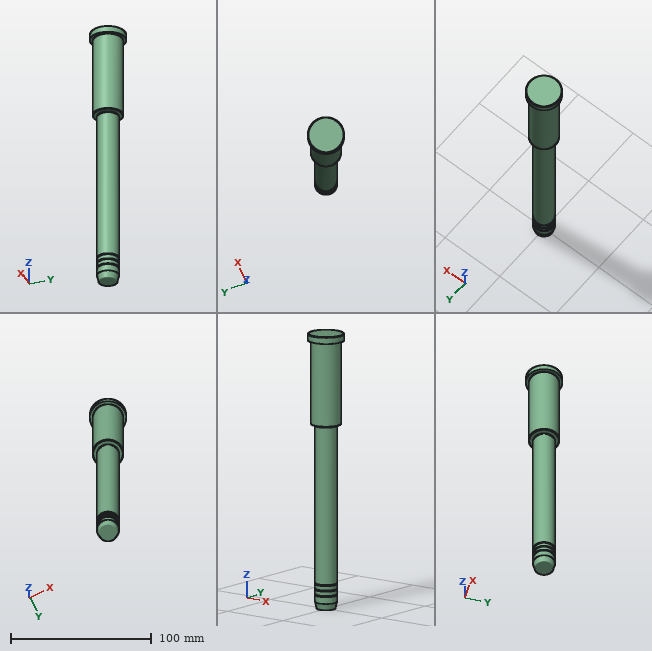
import cadquery as cq

LENGTH = 200.0

HEAD_RADIUS = 13.0
HEAD_HEIGHT = 5.0
HEAD_CHAMFER = 0.5

SLEEVE_RADIUS = 11.0
SLEEVE_LENGTH = 61.0
SLEEVE_CHAMFER = 0.5
HEAD_RELIEF_HEIGHT = 0.5
HEAD_RELIEF_DEPTH = 0.2

PIN_RADIUS = 8.0
NECK_RADIUS = 7.2
NECK_HEIGHT = 1.0

GROOVE_COUNT = 3
GROOVE_WIDTH = 1.0
GROOVE_DEPTH = 0.5
GROOVE_PITCH = 4.0
LOWEST_GROOVE_Z = 10.5

TIP_HEIGHT = 5.0
TIP_BASE_RADIUS = 7.8
TIP_END_RADIUS = 6.8
TIP_FILLET = 0.5

HEAD_BOTTOM_Z = LENGTH - HEAD_HEIGHT
SLEEVE_BOTTOM_Z = HEAD_BOTTOM_Z - SLEEVE_LENGTH
NECK_BOTTOM_Z = SLEEVE_BOTTOM_Z - NECK_HEIGHT


def cylinder(radius, bottom_z, top_z):
    """Solid cylinder on the pin axis between two heights."""
    return cq.Workplane("XY").workplane(offset=bottom_z).circle(radius).extrude(top_z - bottom_z)


def ring_cut(outer_radius, depth, center_z, width):
    """Ring to remove for a square groove in a cylindrical surface."""
    ring = cq.Workplane("XY").workplane(offset=center_z - width / 2)
    return ring.circle(outer_radius).circle(outer_radius - depth).extrude(width)


def v_ring_cut(outer_radius, depth, center_z, width):
    """Ring to remove for a V-shaped groove in a cylindrical surface."""
    profile = cq.Workplane("XZ").polyline([
        (outer_radius, center_z - width / 2),
        (outer_radius - depth, center_z),
        (outer_radius, center_z + width / 2),
    ]).close()
    return profile.revolve(360, (0, 0, 0), (0, 1, 0))


def make_head():
    return cylinder(HEAD_RADIUS, HEAD_BOTTOM_Z, LENGTH).faces(">Z").edges().chamfer(HEAD_CHAMFER)


def make_sleeve():
    """Thick upper shank with a shallow relief directly below the head."""
    sleeve = cylinder(SLEEVE_RADIUS, SLEEVE_BOTTOM_Z, HEAD_BOTTOM_Z)
    sleeve = sleeve.faces("<Z").edges().chamfer(SLEEVE_CHAMFER)
    relief_z = HEAD_BOTTOM_Z - HEAD_RELIEF_HEIGHT / 2
    return sleeve.cut(ring_cut(SLEEVE_RADIUS, HEAD_RELIEF_DEPTH, relief_z, HEAD_RELIEF_HEIGHT))


def make_pin():
    """Slender lower shank with evenly spaced V grooves near the tip."""
    pin = cylinder(PIN_RADIUS, TIP_HEIGHT, NECK_BOTTOM_Z)
    for index in range(GROOVE_COUNT):
        groove_z = LOWEST_GROOVE_Z + index * GROOVE_PITCH
        pin = pin.cut(v_ring_cut(PIN_RADIUS, GROOVE_DEPTH, groove_z, GROOVE_WIDTH))
    return pin


def make_tip():
    """Tapered lead-in, rounded at its free end."""
    tip = cq.Workplane("XY").circle(TIP_END_RADIUS)
    tip = tip.workplane(offset=TIP_HEIGHT).circle(TIP_BASE_RADIUS).loft(ruled=True)
    return tip.faces("<Z").edges().fillet(TIP_FILLET)


neck = cylinder(NECK_RADIUS, NECK_BOTTOM_Z, SLEEVE_BOTTOM_Z)
result = make_head().union(make_sleeve()).union(neck).union(make_pin()).union(make_tip())